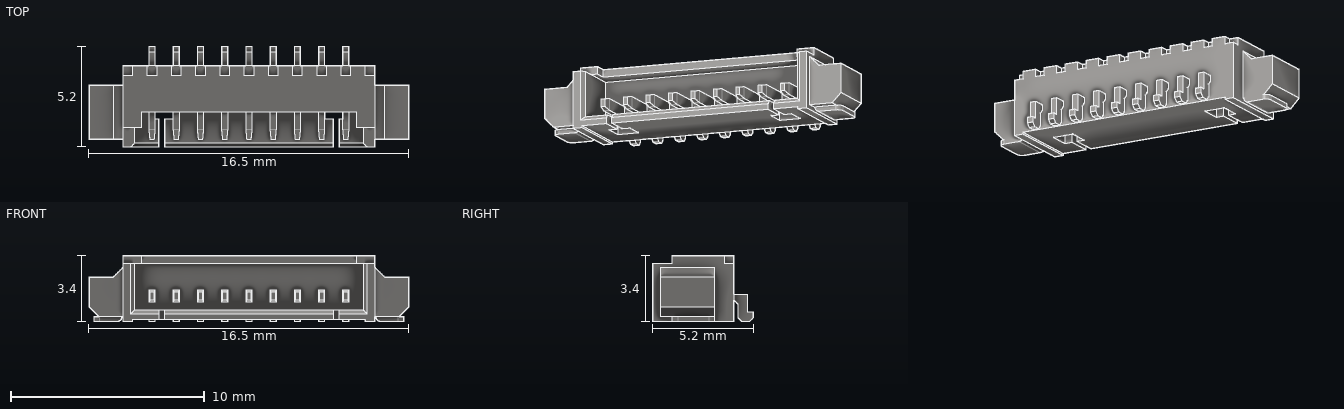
import cadquery as cq

pin_count = 9
pin_pitch = 1.25
pin_width = 0.32
pin_bottom = 1.005
pin_height = 0.62
tip_y = 0.4
tip_length = 0.5
tip_width = 0.22
tip_height = 0.4

tail_reach = 1.0
tail_top = 1.4
tail_foot_height = 0.5
tail_foot_step = 0.3
tail_gap = 0.2
tail_chamfer = 0.2
tail_bend_z = 0.9
pin_joint_y = 3.7

end_margin = 1.5
housing_length = (pin_count - 1) * pin_pitch + 2 * end_margin
housing_depth = 4.2
housing_height = 3.4
half_length = housing_length / 2
wall = 0.6
roof_thickness = 0.4
roof_underside = housing_height - roof_thickness
floor_top = 0.6
lead_in = 0.2
cavity_depth = 3.0
roof_setback = 1.0
roof_window_depth = 1.8
roof_window_side_margin = 0.95
standoff = 0.1
foot_length = 0.5
notch_size = 0.5

floor_slot_x = 4.5
floor_slot_width = 0.3
floor_slot_depth = 1.45
floor_hole_width = 1.15
floor_hole_end = 2.65

ear_reach = 1.75
ear_front = 0.4
ear_width = 2.8
ear_bottom = 0.25
ear_top = 2.3
ear_chamfer = 0.5
ear_root_width = 0.5
tab_reach = 1.5
tab_front = 1.0
tab_clearance = 0.05
tab_corner_radius = 0.3


def block(x_range, y_range, z_range):
    """Axis-aligned block between the given limits."""
    (x0, x1), (y0, y1), (z0, z1) = x_range, y_range, z_range
    return cq.Workplane("XY").box(x1 - x0, y1 - y0, z1 - z0, centered=False).translate((x0, y0, z0))


def centred_block(x, width, y_range, z_range):
    return block((x - width / 2, x + width / 2), y_range, z_range)


def pin_positions():
    first = -(pin_count - 1) * pin_pitch / 2
    return [first + index * pin_pitch for index in range(pin_count)]


def cavity():
    """Mating cavity with a lead-in chamfer along the side walls and the floor."""
    inner_length = housing_length - 2 * wall
    main = centred_block(0, inner_length, (0, cavity_depth), (floor_top, roof_underside))
    inner_height = roof_underside - floor_top
    mouth = (
        cq.Workplane("XZ")
        .center(0, (floor_top + roof_underside) / 2 - lead_in / 2)
        .rect(inner_length + 2 * lead_in, inner_height + lead_in)
        .workplane(offset=-lead_in)
        .center(0, lead_in / 2)
        .rect(inner_length, inner_height)
        .loft(ruled=True)
    )
    return main.union(mouth)


def roof_opening():
    """Front setback of the roof, with a deeper window between two side tabs."""
    z_range = (roof_underside, housing_height)
    setback = centred_block(0, housing_length, (0, roof_setback), z_range)
    window_length = housing_length - 2 * roof_window_side_margin
    return setback.union(centred_block(0, window_length, (0, roof_window_depth), z_range))


def roof_notches():
    """Square notches in the rear roof edge, over each pin and at both corners."""
    y_range = (housing_depth - notch_size, housing_depth)
    z_range = (roof_underside, housing_height)
    corner_x = half_length - notch_size / 2
    notches = cq.Workplane("XY")
    for x in pin_positions() + [-corner_x, corner_x]:
        notches = notches.union(centred_block(x, notch_size, y_range, z_range))
    return notches


def floor_openings():
    """Two T-shaped openings: a slot from the mating face ending in a wider hole."""
    z_range = (0, floor_top)
    slot_y = (0, floor_slot_depth)
    hole_y = (floor_slot_depth, floor_hole_end)
    openings = cq.Workplane("XY")
    for x in (-floor_slot_x, floor_slot_x):
        slot = centred_block(x, floor_slot_width, slot_y, z_range)
        hole = centred_block(x, floor_hole_width, hole_y, z_range)
        openings = openings.union(slot).union(hole)
    return openings


def housing():
    body = centred_block(0, housing_length, (0, housing_depth), (0, housing_height))
    underside = centred_block(0, housing_length - 2 * foot_length, (0, housing_depth), (0, standoff))
    for cut in (cavity(), roof_opening(), roof_notches(), floor_openings(), underside):
        body = body.cut(cut)
    return body


def ear():
    """Side ear at the +X end, braced at its root and bevelled at its lower edge."""
    outer_x = half_length + ear_reach
    profile = [
        (half_length, ear_bottom),
        (outer_x - ear_chamfer, ear_bottom),
        (outer_x, ear_bottom + ear_chamfer),
        (outer_x, ear_top),
        (half_length + ear_root_width, ear_top),
        (half_length, ear_top + ear_root_width),
    ]
    return cq.Workplane("XZ", origin=(0, ear_front, 0)).polyline(profile).close().extrude(-ear_width)


def solder_tab():
    """Flat tab under the +X ear, with rounded outer corners and a bend up into the ear."""
    inner_x = half_length + tab_clearance
    outer_x = half_length + tab_reach
    tab_width = ear_front + ear_width - tab_front
    tab = (
        cq.Workplane("XZ", origin=(0, tab_front, 0))
        .moveTo(inner_x, ear_bottom)
        .radiusArc((inner_x + ear_bottom, 0), -ear_bottom)
        .lineTo(outer_x, 0)
        .lineTo(outer_x, ear_bottom)
        .close()
        .extrude(-tab_width)
    )
    return tab.edges("|Z and >X").fillet(tab_corner_radius)


def pin(x):
    """Bent contact: tapered tip and blade in the cavity, angled tail behind the housing."""
    blade_start = tip_y + tip_length
    pin_mid_z = pin_bottom + pin_height / 2
    blade_z = (pin_bottom, pin_bottom + pin_height)
    blade = centred_block(x, pin_width, (blade_start, pin_joint_y), blade_z)
    tip = (
        cq.Workplane("XZ", origin=(x, blade_start, pin_mid_z))
        .rect(pin_width, pin_height)
        .workplane(offset=tip_length)
        .rect(tip_width, tip_height)
        .loft(ruled=True)
    )
    inner_y = housing_depth + tail_gap
    end_y = housing_depth + tail_reach
    outer_y = end_y - tail_foot_step
    bend_top = tail_bend_z + tail_gap
    tail_profile = [
        (pin_joint_y, tail_top),
        (outer_y, tail_top),
        (outer_y, tail_foot_height),
        (end_y, tail_foot_height),
        (end_y, tail_chamfer),
        (end_y - tail_chamfer, 0),
        (inner_y + tail_chamfer, 0),
        (inner_y, tail_chamfer),
        (inner_y, tail_bend_z),
        (housing_depth, bend_top),
        (pin_joint_y, bend_top),
    ]
    tail = (
        cq.Workplane("YZ", origin=(x - pin_width / 2, 0, 0))
        .polyline(tail_profile)
        .close()
        .extrude(pin_width)
    )
    return blade.union(tip).union(tail)


side = ear().union(solder_tab())
result = housing().union(side).union(side.mirror("YZ"))
for pin_x in pin_positions():
    result = result.union(pin(pin_x))